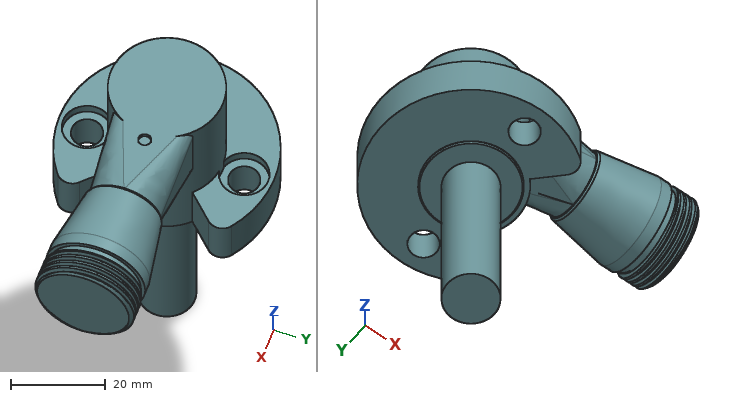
import cadquery as cq
import math

FLANGE_RADIUS = 24.0
FLANGE_HEIGHT = 11.25
FLANGE_OPENING_ANGLE = 90.0
FLANGE_TIP_RADIUS = 3.3

SCREW_X = 0.8
SCREW_Y = 17.6
SCREW_DIAMETER = 6.8
COUNTERBORE_DIAMETER = 10.7
COUNTERBORE_DEPTH = 2.2

BODY_RADIUS = 12.5
BODY_TOP = 34.5

PAD_RADIUS = 11.2
PAD_HEIGHT = 0.5
PAD_CHAMFER = 0.3
STEM_RADIUS = 6.2
STEM_LENGTH = 44.5

ARM_RADIUS = 8.0
ARM_START_X = 8.2
ARM_START_WIDTH = 17.8
ARM_START_CORNER = 1.9
ARM_FLAT_REMNANT = 0.03
AXIS_Z = BODY_TOP - ARM_RADIUS

BARREL_START_X = 27.1
BARREL_START_RADIUS = 8.7
BARREL_START_CHAMFER_X = 0.5
BARREL_START_CHAMFER_R = 0.3
BARREL_RADIUS = 11.1
CONE_END_X = 41.85
BAND_END_X = 44.6
END_X = 52.4

THREAD_START_X = 46.4
THREAD_RADIUS = 11.1
THREAD_ROOT_RADIUS = 10.2
THREAD_PITCH = 1.5
THREAD_CREST_WIDTH = 0.6
THREAD_BASE_WIDTH = 1.3
THREAD_EMBED = 0.2
END_CHAMFER = 0.8
TRIM_CLEARANCE = 0.8

VENT_X = 13.95
VENT_DIAMETER = 2.8
VENT_DEPTH = 0.8


def polar(radius, degrees):
    angle = math.radians(degrees)
    return (radius * math.cos(angle), radius * math.sin(angle))


def flange():
    """Disc with a wedge removed toward +X, tips rounded, screw holes cut."""
    half_angle = FLANGE_OPENING_ANGLE / 2
    tip_distance = FLANGE_RADIUS - FLANGE_TIP_RADIUS
    tip_turn = math.degrees(math.asin(FLANGE_TIP_RADIUS / tip_distance))
    tip_angle = half_angle + tip_turn
    tip_center = polar(tip_distance, tip_angle)
    edge_end = polar(tip_distance * math.cos(math.radians(tip_turn)), half_angle)
    bulge_angle = (half_angle - 90 + tip_angle) / 2
    bulge = polar(FLANGE_TIP_RADIUS, bulge_angle)
    tip_middle = (tip_center[0] + bulge[0], tip_center[1] + bulge[1])
    rim_end = polar(FLANGE_RADIUS, tip_angle)

    def mirrored(point):
        return (point[0], -point[1])

    disc = (
        cq.Workplane("XY")
        .moveTo(0, 0)
        .lineTo(*edge_end)
        .threePointArc(tip_middle, rim_end)
        .threePointArc((-FLANGE_RADIUS, 0), mirrored(rim_end))
        .threePointArc(mirrored(tip_middle), mirrored(edge_end))
        .close()
        .extrude(FLANGE_HEIGHT)
    )
    return (
        disc.faces(">Z")
        .workplane(origin=(0, 0, FLANGE_HEIGHT))
        .pushPoints([(SCREW_X, SCREW_Y), (SCREW_X, -SCREW_Y)])
        .cboreHole(SCREW_DIAMETER, COUNTERBORE_DIAMETER, COUNTERBORE_DEPTH)
    )


def body():
    return cq.Workplane("XY").circle(BODY_RADIUS).extrude(BODY_TOP)


def stem():
    pad = cq.Workplane("XY").circle(PAD_RADIUS).extrude(-PAD_HEIGHT)
    pad = pad.faces("<Z").chamfer(PAD_CHAMFER)
    return pad.union(cq.Workplane("XY").circle(STEM_RADIUS).extrude(-STEM_LENGTH))


def arm_section(x, width, height, corner):
    """Rounded rectangle across the arm axis."""
    outline = cq.Workplane("YZ", origin=(x, 0, AXIS_Z)).rect(width, height).val()
    return outline.fillet2D(corner, outline.Vertices())


def arm():
    """Blend whose flat sides narrow to nothing at the barrel."""
    size = 2 * ARM_RADIUS
    start = arm_section(ARM_START_X, ARM_START_WIDTH, size, ARM_START_CORNER)
    end = arm_section(BARREL_START_X, size, size, ARM_RADIUS - ARM_FLAT_REMNANT / 2)
    return cq.Workplane(cq.Solid.makeLoft([start, end], True))


def turned(profile):
    """Revolve (x, radius) points about the arm axis."""
    return (
        cq.Workplane("XZ", origin=(0, 0, AXIS_Z))
        .polyline(profile)
        .close()
        .revolve(360, (0, 0), (1, 0))
    )


def barrel():
    return turned([
        (BARREL_START_X, 0),
        (BARREL_START_X, BARREL_START_RADIUS - BARREL_START_CHAMFER_R),
        (BARREL_START_X + BARREL_START_CHAMFER_X, BARREL_START_RADIUS),
        (CONE_END_X, BARREL_RADIUS),
        (BAND_END_X, BARREL_RADIUS),
        (BAND_END_X, THREAD_ROOT_RADIUS),
        (END_X, THREAD_ROOT_RADIUS),
        (END_X, 0),
    ])


def thread():
    """Helical ridge, trimmed flat at its start and chamfered at the barrel end."""
    helix_start = THREAD_START_X - THREAD_PITCH
    helix_length = END_X - THREAD_START_X + 2 * THREAD_PITCH
    inner_radius = THREAD_ROOT_RADIUS - THREAD_EMBED
    path = cq.Wire.makeHelix(
        THREAD_PITCH, helix_length, inner_radius,
        center=cq.Vector(helix_start, 0, AXIS_Z), dir=cq.Vector(1, 0, 0),
    )
    start = path.startPoint()
    out = (start - cq.Vector(helix_start, 0, AXIS_Z)).normalized()
    section = cq.Plane(origin=start, xDir=(1, 0, 0), normal=cq.Vector(1, 0, 0).cross(out))
    height = THREAD_RADIUS - inner_radius
    ridge = (
        cq.Workplane(section)
        .polyline([
            (-THREAD_BASE_WIDTH / 2, 0),
            (THREAD_BASE_WIDTH / 2, 0),
            (THREAD_CREST_WIDTH / 2, height),
            (-THREAD_CREST_WIDTH / 2, height),
        ])
        .close()
        .sweep(cq.Workplane(path), isFrenet=True)
    )
    outer_radius = THREAD_RADIUS + TRIM_CLEARANCE
    envelope = turned([
        (THREAD_START_X, 0),
        (THREAD_START_X, outer_radius),
        (END_X - END_CHAMFER - TRIM_CLEARANCE, outer_radius),
        (END_X, THREAD_RADIUS - END_CHAMFER),
        (END_X, 0),
    ])
    return ridge.intersect(envelope)


def vent():
    return cq.Workplane("XY", origin=(VENT_X, 0, BODY_TOP)).circle(VENT_DIAMETER / 2).extrude(-VENT_DEPTH)


result = (
    flange()
    .union(body())
    .union(stem())
    .union(arm())
    .union(barrel())
    .union(thread())
    .cut(vent())
)